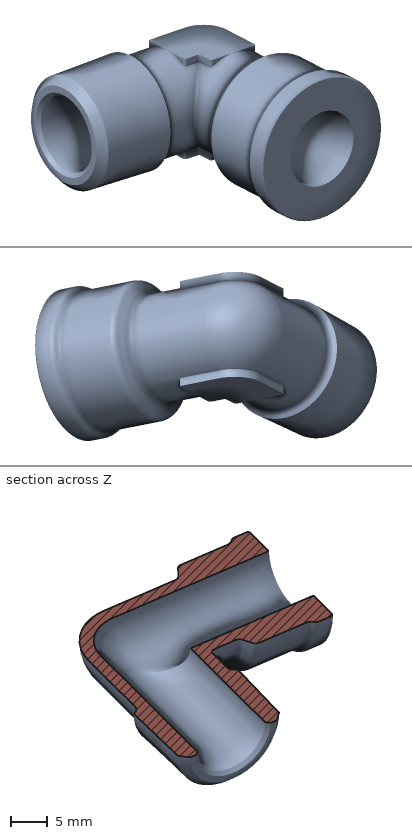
import cadquery as cq
import math

body_radius = 15.0 / 2
bore_radius = 11.0 / 2

shoulder_angle = math.radians(60)
shoulder_blend = 1.0
blend_run = shoulder_blend * math.sin(shoulder_angle)
blend_rise = shoulder_blend * (1 - math.cos(shoulder_angle))

male_length = 24.5
male_neck_end = 11.55
male_shoulder_radius = 8.47
male_tip_chamfer_start = 23.35
male_taper_end_radius = 8.22
male_tip_radius = 7.05
mouth_radius = 6.02
mouth_depth = mouth_radius - bore_radius

female_length = 25.5
female_neck_end = 11.5
socket_radius = 19.5 / 2
rim_radius = 21.0 / 2
rim_blend_start = 21.6
rim_blend_end = 23.17
rim_chamfer = 0.2

cone_run_per_rise = 1 / math.tan(shoulder_angle)
male_cone_rise = male_shoulder_radius - body_radius - blend_rise
male_shoulder = male_neck_end + blend_run + male_cone_rise * cone_run_per_rise
socket_cone_rise = socket_radius - body_radius - 2 * blend_rise
socket_cone_start = female_neck_end + blend_run
socket_cone_end = socket_cone_start + socket_cone_rise * cone_run_per_rise

crotch_blend = 0.5

pad_height = 7.52
pad_outer = 3.95
pad_reach = 6.48
pad_corner_blend = 0.35


def leg_pair(radius, male_end_station, female_end_station):
    """Two round legs joined by a ball at the corner."""
    male = cq.Workplane("XZ").circle(radius).extrude(male_end_station)
    female = cq.Workplane("YZ").circle(radius).extrude(female_end_station)
    corner = cq.Workplane("XY").sphere(radius)
    return male.union(female).union(corner)


def wrench_pads():
    """Notched flats on the +Z and -Z sides."""
    sharp_corners = (
        cq.selectors.BoxSelector((-pad_reach, -2 * pad_reach, -0.35), (2 * pad_reach, -0.35, 0.35))
        + cq.selectors.NearestToPointSelector((pad_reach, pad_outer, 0))
    )
    return (
        cq.Workplane("XY")
        .workplane(offset=-pad_height)
        .moveTo(-pad_outer, 0)
        .radiusArc((0, pad_outer), pad_outer)
        .lineTo(pad_reach, pad_outer)
        .lineTo(pad_reach, -pad_outer)
        .lineTo(pad_outer, -pad_outer)
        .lineTo(pad_outer, -pad_reach)
        .lineTo(-pad_outer, -pad_reach)
        .close()
        .extrude(2 * pad_height)
        .edges("|Z")
        .edges(sharp_corners)
        .fillet(pad_corner_blend)
    )


def elbow():
    """Elbow with wrench pads and a rounded inner corner."""
    solid = leg_pair(body_radius, male_neck_end, female_neck_end).union(wrench_pads())
    return solid.edges("%ELLIPSE").fillet(crotch_blend)


def male_end():
    """Tapered spigot with a blended shoulder and a chamfered tip."""
    return (
        cq.Workplane("XY")
        .moveTo(0, -male_neck_end)
        .lineTo(body_radius, -male_neck_end)
        .radiusArc((body_radius + blend_rise, -male_neck_end - blend_run), -shoulder_blend)
        .lineTo(male_shoulder_radius, -male_shoulder)
        .lineTo(male_taper_end_radius, -male_tip_chamfer_start)
        .lineTo(male_tip_radius, -male_length)
        .lineTo(0, -male_length)
        .close()
        .revolve(360, (0, 0), (0, 1))
    )


def female_end():
    """Socket with a conical shoulder and a thicker end rim."""
    rim_blend_middle = ((rim_blend_start + rim_blend_end) / 2, (socket_radius + rim_radius) / 2)
    return (
        cq.Workplane("XY")
        .moveTo(female_neck_end, 0)
        .lineTo(female_neck_end, body_radius)
        .radiusArc((socket_cone_start, body_radius + blend_rise), -shoulder_blend)
        .lineTo(socket_cone_end, socket_radius - blend_rise)
        .radiusArc((socket_cone_end + blend_run, socket_radius), shoulder_blend)
        .lineTo(rim_blend_start, socket_radius)
        .tangentArcPoint(rim_blend_middle, relative=False)
        .tangentArcPoint((rim_blend_end, rim_radius), relative=False)
        .lineTo(female_length - rim_chamfer, rim_radius)
        .lineTo(female_length, rim_radius - rim_chamfer)
        .lineTo(female_length, 0)
        .close()
        .revolve(360, (0, 0), (1, 0))
    )


def mouth_countersink():
    """Conical lead-in at the tip of the male leg."""
    return (
        cq.Workplane("XY")
        .moveTo(0, -male_length)
        .lineTo(mouth_radius, -male_length)
        .lineTo(bore_radius, -male_length + mouth_depth)
        .lineTo(0, -male_length + mouth_depth)
        .close()
        .revolve(360, (0, 0), (0, 1))
    )


passage = leg_pair(bore_radius, male_length, female_length).union(mouth_countersink())
result = elbow().union(male_end()).union(female_end()).cut(passage)